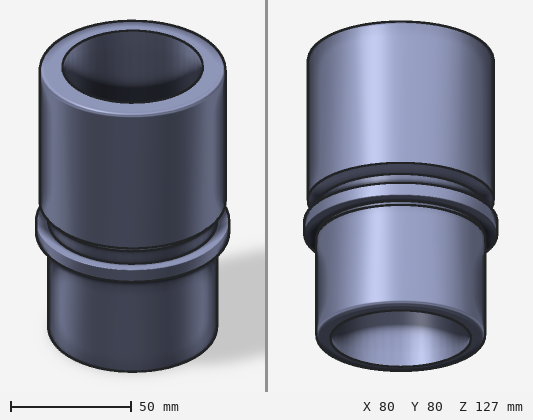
import cadquery as cq

total_height = 127.0
bore_diameter = 58.0
body_diameter = 77.0
spigot_diameter = 70.0
collar_diameter = 80.0
groove_diameter = 68.6

body_bottom = 62.5
collar_top = 53.0
collar_bottom = 47.1
groove_bottom = 45.1

end_round = 2.0
collar_round = 0.4
groove_round = 0.6

body_radius = body_diameter / 2
spigot_radius = spigot_diameter / 2
collar_radius = collar_diameter / 2
groove_radius = groove_diameter / 2
bore_radius = bore_diameter / 2

shoulder_bottom = body_bottom - (body_radius - spigot_radius)


def sleeve():
    """Revolve the stepped wall section, from the bore out, about Z."""
    section = (
        cq.Workplane("XZ")
        .moveTo(bore_radius, 0)
        .lineTo(spigot_radius, 0)
        .lineTo(spigot_radius, groove_bottom)
        .lineTo(groove_radius + groove_round, groove_bottom)
        .radiusArc((groove_radius, groove_bottom + groove_round), groove_round)
        .lineTo(groove_radius, collar_bottom)
        .lineTo(collar_radius - collar_round, collar_bottom)
        .radiusArc((collar_radius, collar_bottom + collar_round), -collar_round)
        .lineTo(collar_radius, collar_top - collar_round)
        .radiusArc((collar_radius - collar_round, collar_top), -collar_round)
        .lineTo(spigot_radius, collar_top)
        .lineTo(spigot_radius, shoulder_bottom)
        .lineTo(body_radius, body_bottom)
        .lineTo(body_radius, total_height)
        .lineTo(bore_radius, total_height)
        .close()
    )
    return section.revolve(360, (0, 0), (0, 1))


def round_outer_rim(part, end_face):
    """Round the outer edge of an end face, leaving its bore edge sharp."""
    outer_rim = part.faces(end_face).edges(cq.selectors.RadiusNthSelector(-1))
    return outer_rim.fillet(end_round)


result = sleeve()
for end_face in ("<Z", ">Z"):
    result = round_outer_rim(result, end_face)